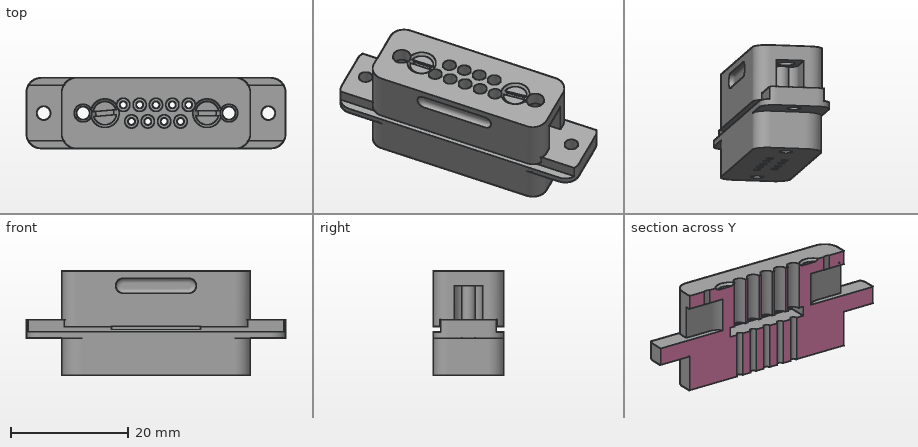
import cadquery as cq

LENGTH = 44.2
DEPTH = 12.05
HEIGHT = 17.75
BODY_LENGTH = 32.15
CORNER_RADIUS = 2.55
KEY_CORNER_RADIUS = 3.4

PLATE_BOTTOM = 6.3
PLATE_TOP = 7.4
RELIEF_FLOOR = 7.85
HOOD_BOTTOM = 8.3
PAD_TOP = 9.5
CAVITY_TOP = 15.25

PAD_WIDTH = 9.45
CHANNEL_WIDTH = 9.72
RELIEF_LENGTH = 15.1

CONTACT_PITCH = 2.8
CONTACT_ROW_OFFSET = 1.4
CONTACT_BORE = 2.25
CONTACT_HOLE = 1.15

JACK_X = 12.4
JACK_BORE = 3.0
JACK_HOLE = 2.2
MOUNT_X = 19.15
MOUNT_HOLE = 2.3

SCREW_X = 8.7
SCREW_SHANK = 2.45
COUNTERSINK_DIAMETER = 4.85
HEAD_RECESS = 0.45
SLOT_DEPTH = 0.45
SLOT_WIDTH = 0.85
LEFT_SLOT_ANGLE = 5.0

CAVITY_WIDTH = 4.77

GRIP_LENGTH = 13.7
GRIP_HEIGHT = 2.55
GRIP_DEPTH = 0.85
GRIP_FLOOR_RADIUS = 0.8
GRIP_Z = 15.25


def block(length, width, bottom, top):
    """Box centred on the Z axis between two levels."""
    return cq.Workplane("XY").workplane(offset=bottom).rect(length, width).extrude(top - bottom)


def rounded_block(length, bottom, top):
    """Full-depth block with the common corner radius."""
    return block(length, DEPTH, bottom, top).edges("|Z").fillet(CORNER_RADIUS)


def drill(points, diameter, bottom, top):
    """Vertical cylinders at the given points between two levels."""
    plane = cq.Workplane("XY").workplane(offset=bottom)
    return plane.pushPoints(points).circle(diameter / 2).extrude(top - bottom)


def lower_body():
    body = block(BODY_LENGTH, DEPTH, 0, PLATE_BOTTOM)
    body = body.edges("|Z and <X and <Y").fillet(KEY_CORNER_RADIUS)
    return body.edges("(|Z and >X) or (|Z and <X and >Y)").fillet(CORNER_RADIUS)


def flange():
    plate = rounded_block(LENGTH, PLATE_BOTTOM, PLATE_TOP)
    pad = rounded_block(LENGTH, PLATE_TOP, PAD_TOP)
    pad = pad.intersect(block(LENGTH, PAD_WIDTH, PLATE_TOP, PAD_TOP))
    relief = block(RELIEF_LENGTH, DEPTH, RELIEF_FLOOR, PAD_TOP)
    return plate.union(pad).cut(relief)


def end_cavity(side):
    """Round-ended tunnel from one end of the hood to the screw axis, leaving the shank standing."""
    round_x = SCREW_X + CAVITY_WIDTH / 2
    reach = BODY_LENGTH / 2 - round_x
    tunnel = block(reach, CAVITY_WIDTH, PAD_TOP, CAVITY_TOP).translate((side * (round_x + reach / 2), 0, 0))
    tunnel = tunnel.union(drill([(side * round_x, 0)], CAVITY_WIDTH, PAD_TOP, CAVITY_TOP))
    return tunnel.cut(drill([(side * SCREW_X, 0)], SCREW_SHANK, PAD_TOP, CAVITY_TOP))


def screw_recess(side, slot_angle):
    """Conical recess above a screw head, with the driver slot following the same 90 degree cone."""
    cone_depth = HEAD_RECESS + SLOT_DEPTH
    top_radius = COUNTERSINK_DIAMETER / 2
    cone = cq.Workplane(cq.Solid.makeCone(top_radius - cone_depth, top_radius, cone_depth))
    cone = cone.translate((0, 0, HEIGHT - cone_depth))
    above_head = block(COUNTERSINK_DIAMETER, COUNTERSINK_DIAMETER, HEIGHT - HEAD_RECESS, HEIGHT)
    slot = block(COUNTERSINK_DIAMETER, SLOT_WIDTH, HEIGHT - cone_depth, HEIGHT)
    slot = slot.rotate((0, 0, 0), (0, 0, 1), slot_angle)
    return cone.intersect(above_head.union(slot)).translate((side * SCREW_X, 0, 0))


def grip_groove():
    """Groove with a rounded floor, cut into the -Y side of the hood."""
    plane = cq.Workplane("XZ", origin=(0, -DEPTH / 2, GRIP_Z))
    groove = plane.slot2D(GRIP_LENGTH, GRIP_HEIGHT).extrude(-GRIP_DEPTH)
    return groove.faces(">Y").edges().fillet(GRIP_FLOOR_RADIUS)


def hood():
    shell = rounded_block(BODY_LENGTH, HOOD_BOTTOM, HEIGHT)
    shell = shell.cut(block(BODY_LENGTH, CHANNEL_WIDTH, HOOD_BOTTOM, PAD_TOP))
    for side, slot_angle in ((-1, LEFT_SLOT_ANGLE), (1, 0)):
        shell = shell.cut(end_cavity(side))
        shell = shell.cut(screw_recess(side, slot_angle))
    groove = grip_groove()
    return shell.cut(groove).cut(groove.mirror("XZ"))


def contact_row(count, y):
    return [((i - (count - 1) / 2) * CONTACT_PITCH, y) for i in range(count)]


contacts = contact_row(5, CONTACT_ROW_OFFSET) + contact_row(4, -CONTACT_ROW_OFFSET)
jackscrews = [(-JACK_X, 0), (JACK_X, 0)]
mounts = [(-MOUNT_X, 0), (MOUNT_X, 0)]

result = lower_body().union(flange()).union(hood())

result = result.cut(drill(contacts, CONTACT_BORE, RELIEF_FLOOR, HEIGHT))
result = result.cut(drill(contacts, CONTACT_HOLE, 0, RELIEF_FLOOR))
result = result.cut(drill(jackscrews, JACK_BORE, PAD_TOP, HEIGHT))
result = result.cut(drill(jackscrews, JACK_HOLE, 0, PAD_TOP))
result = result.cut(drill(mounts, MOUNT_HOLE, 0, PAD_TOP))